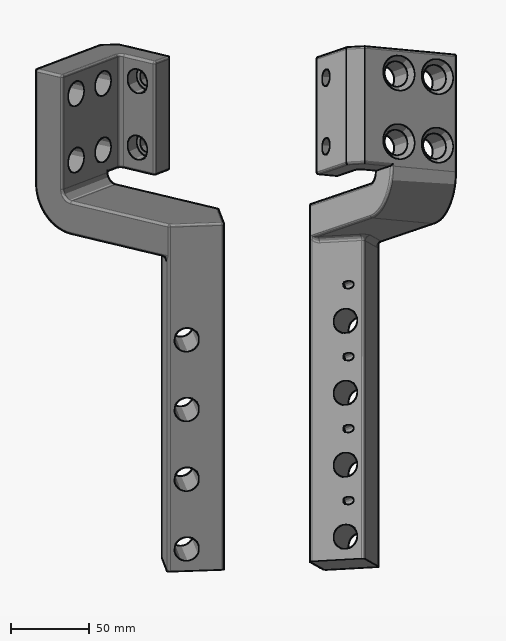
import cadquery as cq
import math

total_height = 315.5
total_length = 133.7
total_depth = 75.5

bar_long_side = 37.0
bar_short_side = 32.5
bar_corner_radius = 2.0
leg_root_radius = 3.5

edge_radius = 1.5

strap_thickness = 22.5
bend_inner_radius = 6.5
bend_outer_radius = bend_inner_radius + strap_thickness

flange_height = 76.3
tab_reach = 50.8
tab_thickness = 16.0
flange_corner_cut = 8.8
flange_inner_radius = 2.8

plate_hole_diameter = 16.5
plate_sink_diameter = 22.7
plate_sink_depth = 3.8
plate_hole_places_y = (14.2, 42.0)
tab_hole_diameter = 10.7
tab_bore_diameter = 16.0
tab_bore_depth = 9.5
tab_hole_x = 36.5
flange_hole_top_margin = 15.8
flange_hole_spacing = 44.5

bar_hole_diameter = 15.8
bar_hole_offset = 12.5
bar_hole_count = 4
bar_hole_pitch = 46.7
first_bar_hole_z = 14.8
pin_hole_diameter = 5.0
pin_hole_y = 29.5
pin_hole_depth = 9.5

x_axis = cq.Vector(1, 0, 0)
y_axis = cq.Vector(0, 1, 0)
short_side_axis = cq.Vector(1, -1, 0)

flange_bottom = total_height - flange_height
tab_front = total_depth - tab_thickness
flange_middle = flange_bottom + flange_height / 2
strap_top = flange_bottom - bend_inner_radius
strap_bottom = strap_top - strap_thickness

diagonal = math.sqrt(0.5)
long_run = bar_long_side * diagonal
short_run = bar_short_side * diagonal
corner_loss = bar_corner_radius * (math.sqrt(2) - 1)

right_corner = (total_length + corner_loss, long_run - corner_loss)
front_corner = (right_corner[0] - long_run, -corner_loss)
left_corner = (front_corner[0] - short_run, short_run - corner_loss)
back_corner = (left_corner[0] + long_run, left_corner[1] + long_run)
strap_width = back_corner[1] - corner_loss


def make_flange():
    """Plate along Y with a tab along X at its +Y end, outer edges rounded."""
    body = (
        cq.Workplane("XY", origin=(0, 0, flange_bottom))
        .polyline([
            (0, 0),
            (strap_thickness, 0),
            (strap_thickness, tab_front),
            (tab_reach, tab_front),
            (tab_reach, total_depth),
            (flange_corner_cut, total_depth),
            (0, total_depth - flange_corner_cut),
        ])
        .close()
        .extrude(flange_height)
    )
    inner_corner = cq.NearestToPointSelector((strap_thickness, tab_front, flange_middle))
    return (
        body.edges(inner_corner)
        .fillet(flange_inner_radius)
        .edges("<Z or >Z or (|Z and <Y) or (|Z and >X)")
        .fillet(edge_radius)
    )


def make_strap():
    """Stub inside the flange, bend, and horizontal arm ending in a point above the leg."""
    side_body = (
        cq.Workplane("XZ")
        .moveTo(0, flange_middle)
        .lineTo(0, flange_bottom)
        .radiusArc((bend_outer_radius, strap_bottom), -bend_outer_radius)
        .lineTo(right_corner[0], strap_bottom)
        .lineTo(right_corner[0], strap_top)
        .lineTo(bend_outer_radius, strap_top)
        .radiusArc((strap_thickness, flange_bottom), bend_inner_radius)
        .lineTo(strap_thickness, flange_middle)
        .close()
        .extrude(-strap_width)
    )
    plan_body = (
        cq.Workplane("XY")
        .polyline([
            (0, 0),
            (front_corner[0] + corner_loss, 0),
            right_corner,
            (back_corner[0] + corner_loss, strap_width),
            (0, strap_width),
        ])
        .close()
        .extrude(total_height)
        .edges("|Z and (not <X)")
        .fillet(bar_corner_radius)
    )
    return (
        side_body.intersect(plan_body)
        .faces("<Y or >Y")
        .edges("not >Z")
        .fillet(edge_radius)
    )


def make_leg():
    """Bar with rounded corners, reaching up into the arm."""
    return (
        cq.Workplane("XY")
        .polyline([left_corner, front_corner, right_corner, back_corner])
        .close()
        .extrude(strap_bottom + strap_thickness / 2)
        .edges("|Z")
        .fillet(bar_corner_radius)
    )


def round_leg_root(body):
    """Round the inside corner where the leg meets the underside of the arm."""
    root_edge = cq.NearestToPointSelector((
        (left_corner[0] + front_corner[0]) / 2,
        (left_corner[1] + front_corner[1]) / 2,
        strap_bottom,
    ))
    return body.edges(root_edge).fillet(leg_root_radius)


def drill(diameter, length, start, axis):
    """Round cutter running from start along axis."""
    return cq.Workplane(obj=cq.Solid.makeCylinder(diameter / 2, length, start, axis))


def cut_plate_hole(body, y, z):
    """Through hole along X, countersunk on the outer face of the plate."""
    start = cq.Vector(0, y, z)
    sink = cq.Solid.makeCone(
        plate_sink_diameter / 2, plate_hole_diameter / 2, plate_sink_depth, start, x_axis)
    return body.cut(drill(plate_hole_diameter, strap_thickness, start, x_axis)).cut(cq.Workplane(obj=sink))


def cut_tab_hole(body, z):
    """Through hole along Y, counterbored on the inner face of the tab."""
    start = cq.Vector(tab_hole_x, tab_front, z)
    bore = drill(tab_bore_diameter, tab_bore_depth, start, y_axis)
    return body.cut(drill(tab_hole_diameter, tab_thickness, start, y_axis)).cut(bore)


def cut_flange_holes(body):
    """Two rows, each with the plate holes and one tab hole."""
    for row in range(2):
        z = total_height - flange_hole_top_margin - row * flange_hole_spacing
        for y in plate_hole_places_y:
            body = cut_plate_hole(body, y, z)
        body = cut_tab_hole(body, z)
    return body


def cut_leg_holes(body):
    """Through holes along the bar's short side, each with a blind pin hole along X above it."""
    hole_run = bar_hole_offset * diagonal
    hole_x = left_corner[0] + hole_run
    hole_y = left_corner[1] + hole_run
    pin_face_x = left_corner[0] + pin_hole_y - left_corner[1]
    pin_start_x = pin_face_x - pin_hole_diameter
    for i in range(bar_hole_count):
        z = first_bar_hole_z + i * bar_hole_pitch
        pin_start = cq.Vector(pin_start_x, pin_hole_y, z + bar_hole_pitch / 2)
        body = body.cut(drill(
            bar_hole_diameter, bar_short_side, cq.Vector(hole_x, hole_y, z), short_side_axis))
        body = body.cut(drill(
            pin_hole_diameter, pin_hole_diameter + pin_hole_depth, pin_start, x_axis))
    return body


body = make_flange().union(make_strap()).union(make_leg())
body = round_leg_root(body)
result = cut_leg_holes(cut_flange_holes(body))